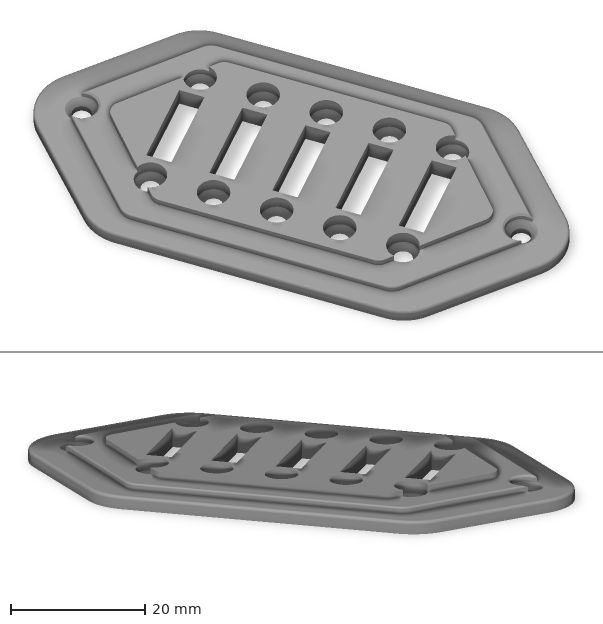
import cadquery as cq

tip_x = 45.0
shoulder_x = 25.0
half_width = 21.8

tip_step = 7.0
shoulder_step = 3.5
width_step = 3.5

base_corner_radius = 8.0
middle_corner_radius = 3.0
top_corner_radius = 2.0

recess_stretch = 2.0

base_thickness = 2.0
step_height = 1.0
recess_depth = 1.0
middle_level = base_thickness + step_height
total_thickness = middle_level + step_height

base_fillet = 0.5
middle_fillet = 0.3
notch_bevel = 0.3

column_count = 5
column_pitch = 10.05
window_width = 4.0
window_length = 14.0
screw_row_offset = 10.5
end_screw_offset = 35.0

screw_diameter = 3.0
head_diameter = 5.0
shank_radius = screw_diameter / 2
head_radius = head_diameter / 2
countersink_depth = head_radius - shank_radius


def hexagonal_plate(steps, stretch, corner_radius, bottom, height):
    """Hexagonal plate with rounded corners, shrunk by whole steps and stretched along X."""
    tip = tip_x - steps * tip_step + stretch
    shoulder = shoulder_x - steps * shoulder_step + stretch
    side = half_width - steps * width_step
    outline = [
        (-tip, 0),
        (-shoulder, side),
        (shoulder, side),
        (tip, 0),
        (shoulder, -side),
        (-shoulder, -side),
    ]
    plate = cq.Workplane("XY").workplane(offset=bottom).polyline(outline).close().extrude(height)
    return plate.edges("|Z").fillet(corner_radius)


def countersunk_hole(x, y):
    """Cutter: screw shank, cone down from the top of the base tier, head clearance above."""
    half_profile = [
        (0, 0),
        (shank_radius, 0),
        (shank_radius, base_thickness - countersink_depth),
        (head_radius, base_thickness),
        (head_radius, total_thickness),
        (0, total_thickness),
    ]
    cutter = cq.Workplane("XZ").polyline(half_profile).close().revolve(360, (0, 0), (0, 1))
    return cutter.translate((x, y, 0))


def window(x):
    """Cutter for one rectangular window through all tiers."""
    cutter = cq.Workplane("XY").rect(window_width, window_length).extrude(total_thickness)
    return cutter.translate((x, 0, 0))


def notch_bevel_cutter():
    """Cutter that bevels the rim of an end screw notch on top of the middle tier."""
    bevel_bottom = middle_level - notch_bevel
    half_profile = [
        (0, bevel_bottom),
        (head_radius, bevel_bottom),
        (head_radius + notch_bevel, middle_level),
        (0, middle_level),
    ]
    return cq.Workplane("XZ").polyline(half_profile).close().revolve(360, (0, 0), (0, 1))


def cut_column(plate, x):
    """Cut one column: a window between two screw holes."""
    plate = plate.cut(window(x))
    for side in (-1, 1):
        plate = plate.cut(countersunk_hole(x, side * screw_row_offset))
    return plate


base = hexagonal_plate(0, 0, base_corner_radius, 0, base_thickness)
base = base.faces(">Z").edges().fillet(base_fillet)
base = base.cut(hexagonal_plate(2, recess_stretch, top_corner_radius, 0, recess_depth))

middle = hexagonal_plate(1, 0, middle_corner_radius, base_thickness, step_height)
middle = middle.faces(">Z").edges().fillet(middle_fillet)

top = hexagonal_plate(2, 0, top_corner_radius, middle_level, step_height)

result = base.union(middle).union(top)

for column in range(column_count):
    column_x = (column - (column_count - 1) / 2) * column_pitch
    result = cut_column(result, column_x)

for side in (-1, 1):
    screw_x = side * end_screw_offset
    result = result.cut(countersunk_hole(screw_x, 0))
    result = result.cut(notch_bevel_cutter().translate((screw_x, 0, 0)))